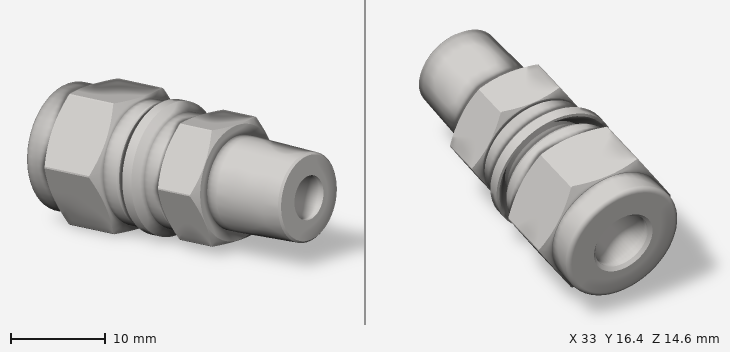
import cadquery as cq
import math

total_length = 32.95

nut_diameter = 13.9
nut_face_round = 0.53
nut_hex_start = 3.0
nut_hex_end = 10.55
nut_hex_flats = 14.3
nut_hex_corner_diameter = 16.4
nut_hex_start_diameter = 14.03
collar_diameter = 13.6
collar_end = 12.55
collar_chamfer = 0.3
collar_chamfer_depth = 0.13

neck_diameter = 11.1
flange_start = 13.5
flange_end = 14.72
flange_diameter = 14.6
recess_diameter = 13.9
recess_depth = 1.88
recess_floor_diameter = 10.1
neck_end = 14.2
shoulder_diameter = 12.6
shoulder_start = flange_end + (flange_diameter - shoulder_diameter) / 2
shoulder_chamfer = 0.35

body_hex_start = 17.8
body_hex_end = 23.3
body_hex_flats = 12.7
body_hex_corner_diameter = flange_diameter
body_hex_end_diameter = 12.6

pipe_diameter = 10.28
pipe_taper_start = 24.55
pipe_taper = 1 / 16
pipe_end_chamfer = 0.23

through_diameter = 4.85
socket_diameter = 6.55
socket_depth = 15.15
mouth_chamfer = 0.35

hex_chamfer_angle = math.radians(30)


def revolve_about_axis(outline):
    """Turn a closed outline of (x, radius) points about the X axis."""
    return cq.Workplane("XY").polyline(outline).close().revolve(360, (0, 0, 0), (1, 0, 0))


def cylinder(start, end, diameter):
    return cq.Workplane("YZ").workplane(offset=start).circle(diameter / 2).extrude(end - start)


def chamfered_hexagon(start, end, flats, corner_diameter, start_diameter, end_diameter):
    """Hexagon with flats facing +Z and -Z, its corners turned down by a chamfered envelope."""
    corner_radius = corner_diameter / 2
    start_radius = start_diameter / 2
    end_radius = end_diameter / 2
    start_chamfer = (corner_radius - start_radius) * math.tan(hex_chamfer_angle)
    end_chamfer = (corner_radius - end_radius) * math.tan(hex_chamfer_angle)
    envelope = revolve_about_axis([
        (start, 0),
        (start, start_radius),
        (start + start_chamfer, corner_radius),
        (end - end_chamfer, corner_radius),
        (end, end_radius),
        (end, 0),
    ])
    across_corners = flats / math.cos(math.pi / 6)
    prism = cq.Workplane("YZ").workplane(offset=start).polygon(6, across_corners).extrude(end - start)
    return prism.intersect(envelope)


def make_nut():
    front = cylinder(0, nut_hex_start, nut_diameter).faces("<X").edges().fillet(nut_face_round)
    hexagon = chamfered_hexagon(
        nut_hex_start, nut_hex_end, nut_hex_flats,
        nut_hex_corner_diameter, nut_hex_start_diameter, collar_diameter,
    )
    collar = cylinder(nut_hex_end, collar_end, collar_diameter)
    collar = collar.faces(">X").edges().chamfer(collar_chamfer, collar_chamfer_depth)
    return front.union(hexagon).union(collar)


def make_body():
    neck_radius = neck_diameter / 2
    recess_radius = recess_diameter / 2
    recess_floor_radius = recess_floor_diameter / 2
    recess_end = flange_start + recess_depth
    flange_radius = flange_diameter / 2
    shoulder_radius = shoulder_diameter / 2
    pipe_radius = pipe_diameter / 2
    taper_end = total_length - pipe_end_chamfer
    taper_end_radius = pipe_radius - (taper_end - pipe_taper_start) * pipe_taper / 2
    turned = revolve_about_axis([
        (collar_end, 0),
        (collar_end, neck_radius),
        (neck_end, neck_radius),
        (neck_end, recess_floor_radius),
        (recess_end, recess_floor_radius),
        (flange_start, recess_radius),
        (flange_start, flange_radius),
        (flange_end, flange_radius),
        (shoulder_start, shoulder_radius),
        (body_hex_start - shoulder_chamfer, shoulder_radius),
        (body_hex_start, shoulder_radius - shoulder_chamfer),
        (body_hex_start, pipe_radius),
        (pipe_taper_start, pipe_radius),
        (taper_end, taper_end_radius),
        (total_length, taper_end_radius - pipe_end_chamfer),
        (total_length, 0),
    ])
    hexagon = chamfered_hexagon(
        body_hex_start, body_hex_end, body_hex_flats,
        body_hex_corner_diameter, body_hex_end_diameter, body_hex_end_diameter,
    )
    return turned.union(hexagon)


def make_bore():
    """Through hole, tube socket and the chamfer at the mouth of the socket."""
    socket_radius = socket_diameter / 2
    through_radius = through_diameter / 2
    return revolve_about_axis([
        (0, 0),
        (0, socket_radius + mouth_chamfer),
        (mouth_chamfer, socket_radius),
        (socket_depth, socket_radius),
        (socket_depth, through_radius),
        (total_length, through_radius),
        (total_length, 0),
    ])


result = make_nut().union(make_body()).cut(make_bore())